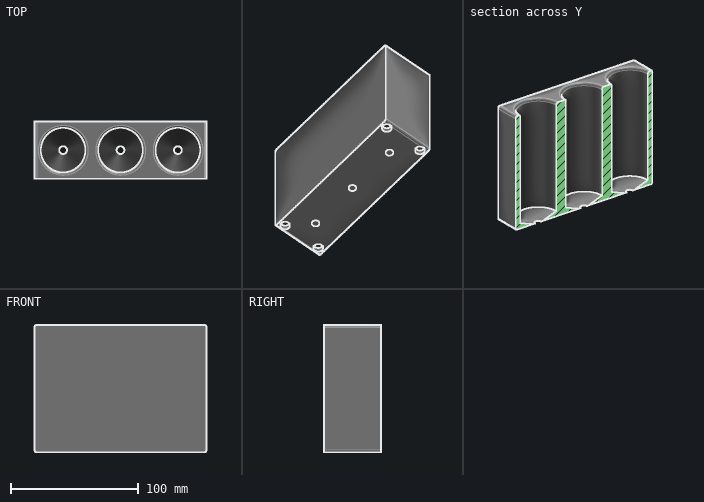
import cadquery as cq

length = 135.0
width = 45.0
height = 100.0
edge_radius = 2.0
base_thickness = 5.0

well_count = 3
well_pitch = length / well_count
well_diameter = 35.0
rim_radius = 2.0
drain_diameter = 6.0

corner_hole_diameter = 7.5
corner_hole_depth = base_thickness
corner_hole_inset = 5.5


def make_block():
    """Block standing on Z = 0, rounded along the end edges that run in Y."""
    block = cq.Workplane("XY").box(length, width, height, centered=(True, True, False))
    return block.edges("|Y").fillet(edge_radius)


def make_well():
    """Cutter for one well: funnel through the base, straight bore and rounded rim."""
    drain_r = drain_diameter / 2
    well_r = well_diameter / 2
    profile = (
        cq.Workplane("XZ")
        .lineTo(drain_r, 0)
        .lineTo(well_r, base_thickness)
        .lineTo(well_r, height - rim_radius)
        .radiusArc((well_r + rim_radius, height), rim_radius)
        .lineTo(0, height)
        .close()
    )
    return profile.revolve(360, (0, 0, 0), (0, 1, 0))


def make_corner_holes():
    """Cutters for the four blind holes in the underside."""
    spacing_x = length - 2 * corner_hole_inset
    spacing_y = width - 2 * corner_hole_inset
    return (
        cq.Workplane("XY")
        .rect(spacing_x, spacing_y, forConstruction=True)
        .vertices()
        .circle(corner_hole_diameter / 2)
        .extrude(corner_hole_depth)
    )


result = make_block().cut(make_corner_holes())
for index in range(well_count):
    well_x = (index - (well_count - 1) / 2) * well_pitch
    result = result.cut(make_well().translate((well_x, 0, 0)))